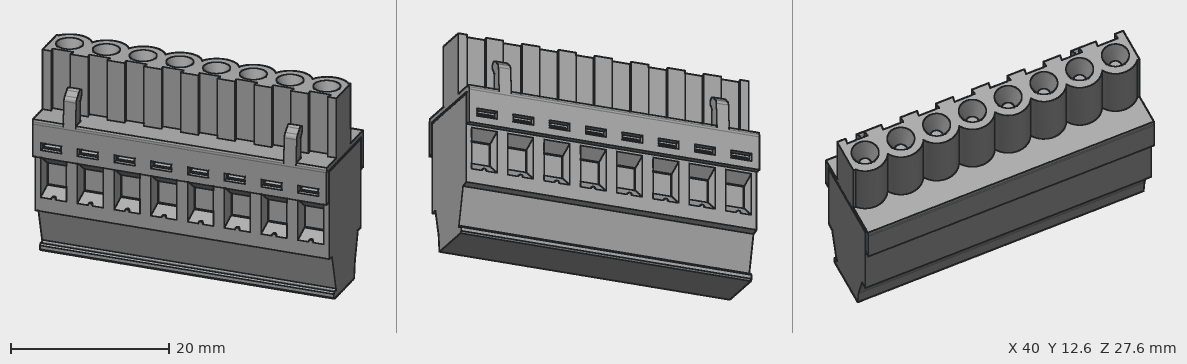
import cadquery as cq
import math


pole_count = 8
pitch = 5.0
length = pole_count * pitch
height = 27.6

plate_width = 12.6
plate_half_width = plate_width / 2
plate_top = 19.3
plate_bottom = 18.6
lean_start = 18.7
plate_chamfer_inset = 0.1
plate_chamfer_drop = 0.3
skirt_bottom = 14.2
skirt_inner = 5.5

body_front = -5.4
body_back = 5.45
end_gap_height = 0.15
end_gap_depth = 0.15

tower_front = -2.9
tower_valley = 1.4
lobe_diameter = 5.7
lobe_center_y = 0.1
ear_width = 0.3
ear_back = 1.9
key_depth = 0.75
key_open_width = 2.6
key_root_width = 2.85

funnel_top_diameter = 3.5
funnel_bottom_diameter = 1.6
funnel_depth = 2.4

window_width = 3.5
window_bottom = 8.25
window_top = 13.9
window_taper_depth = 1.25
window_inner_width = 2.7
window_inner_bottom = 9.5
window_inner_top = 12.6
window_inner_depth = 0.3
window_bead_radius = 0.3

slot_width = 2.8
slot_bottom = 15.25
slot_top = 16.25
wedge_width = 2.25
wedge_front = -5.9
wedge_bottom = 15.35
wedge_front_top = 15.6
wedge_back_top = 15.95

hook_width = 1.7
hook_spacing = (pole_count - 2) * pitch
hook_inner = -4.65
hook_flare = 0.15
hook_neck_z = 22.1
hook_shoulder_y = -6.05
hook_shoulder_z = 22.5
hook_tip_radius = 0.55
hook_tip_z = 23.2

overlap = 0.4

pole_positions = [(i - (pole_count - 1) / 2) * pitch for i in range(pole_count)]


def along_x(profile, width, x_center=0):
    """Extrude a closed Y-Z profile over a width centred on x_center."""
    return profile.extrude(width / 2, both=True).translate((x_center, 0, 0))


def box(x_center, width, y_min, y_max, z_min, z_max):
    return cq.Workplane("XY").box(width, y_max - y_min, z_max - z_min).translate(
        (x_center, (y_min + y_max) / 2, (z_min + z_max) / 2)
    )


def make_body():
    """Lower body: straight walls, tapered foot and a chamfered lip along the front edge."""
    step_z = 6.1
    front_step_y = -4.4
    front_step_edge_z = 6.3
    lip_root_y = -3.1
    lip_root_z = 1.25
    lip_hollow_middle = (-3.0, 1.1)
    lip_hollow_end_y = -3.15
    lip_front = -3.8
    lip_top = 1.0
    lip_chamfer = 0.25
    back_foot_y = 3.15
    back_bend_y = 3.45
    back_bend_z = 2.4
    back_step_y = 4.45
    profile = (
        cq.Workplane("YZ")
        .moveTo(body_front, plate_bottom + overlap)
        .lineTo(body_front, front_step_edge_z)
        .lineTo(front_step_y, step_z)
        .lineTo(lip_root_y, lip_root_z)
        .threePointArc(lip_hollow_middle, (lip_hollow_end_y, lip_top))
        .lineTo(lip_front + lip_chamfer, lip_top)
        .lineTo(lip_front, lip_top - lip_chamfer)
        .lineTo(lip_front, lip_chamfer)
        .lineTo(lip_front + lip_chamfer, 0)
        .lineTo(back_foot_y, 0)
        .lineTo(back_bend_y, back_bend_z)
        .lineTo(back_step_y, step_z)
        .lineTo(body_back, step_z)
        .lineTo(body_back, plate_bottom + overlap)
        .close()
    )
    return along_x(profile, length)


def make_plate():
    """Top plate with leaning, chamfered long edges and a skirt hanging along each long side."""
    chamfer_bottom = plate_top - plate_chamfer_drop
    lean_slope = (plate_half_width + hook_shoulder_y) / (hook_shoulder_z - lean_start)
    lean_y = plate_half_width - lean_slope * (chamfer_bottom - lean_start)
    chamfer_y = plate_half_width - plate_chamfer_inset
    plate = along_x(
        cq.Workplane("YZ").polyline(
            [
                (-plate_half_width, plate_bottom),
                (-plate_half_width, lean_start),
                (-lean_y, chamfer_bottom),
                (-chamfer_y, plate_top),
                (chamfer_y, plate_top),
                (lean_y, chamfer_bottom),
                (plate_half_width, lean_start),
                (plate_half_width, plate_bottom),
            ]
        ).close(),
        length,
    )
    front_skirt = box(0, length, -plate_half_width, -skirt_inner, skirt_bottom, lean_start)
    back_skirt = box(0, length, skirt_inner, plate_half_width, skirt_bottom, lean_start)
    return plate.union(front_skirt).union(back_skirt)


def make_tower():
    """Row of sockets: straight front with undercut key slots, one round lobe per pole behind."""
    base = plate_top - overlap
    tower = box(0, length, tower_front, tower_valley, base, height)
    lobe_limits = box(0, length, 0, plate_half_width, base, height)
    for x in pole_positions:
        lobe = (
            cq.Workplane("XY", origin=(x, lobe_center_y, base))
            .circle(lobe_diameter / 2)
            .extrude(height - base)
        )
        tower = tower.union(lobe.intersect(lobe_limits))
    for side in (-1, 1):
        ear_x = side * (length - ear_width) / 2
        tower = tower.union(box(ear_x, ear_width, 0, ear_back, base, height))
    for x in pole_positions:
        tower = tower.cut(make_key_slot(x))
    return tower


def make_key_slot(x):
    root_y = tower_front + key_depth
    return (
        cq.Workplane("XY", origin=(x, 0, plate_top))
        .polyline(
            [
                (-key_open_width / 2, tower_front),
                (-key_root_width / 2, root_y),
                (key_root_width / 2, root_y),
                (key_open_width / 2, tower_front),
            ]
        )
        .close()
        .extrude(height - plate_top)
    )


def make_funnel(x):
    return (
        cq.Workplane("XY", origin=(x, lobe_center_y, height))
        .circle(funnel_top_diameter / 2)
        .workplane(offset=-funnel_depth)
        .circle(funnel_bottom_diameter / 2)
        .loft()
    )


def make_window(x):
    """Tapered wire entry ending in a short straight pocket, with a bead on the front of its floor."""
    center_z = (window_bottom + window_top) / 2
    inner_center_z = (window_inner_bottom + window_inner_top) / 2
    inner_height = window_inner_top - window_inner_bottom
    taper_end = body_front + window_taper_depth
    taper = (
        cq.Workplane("XZ", origin=(x, body_front, center_z))
        .rect(window_width, window_top - window_bottom)
        .workplane(offset=-window_taper_depth)
        .center(0, inner_center_z - center_z)
        .rect(window_inner_width, inner_height)
        .loft()
    )
    pocket = box(
        x,
        window_inner_width,
        taper_end,
        taper_end + window_inner_depth,
        window_inner_bottom,
        window_inner_top,
    )
    bead = (
        cq.Workplane("XZ", origin=(x, body_front, window_bottom))
        .circle(window_bead_radius)
        .extrude(-window_taper_depth)
    )
    return taper.union(pocket).cut(bead)


def make_slot(x):
    return box(x, slot_width, -plate_half_width, body_front, slot_bottom, slot_top)


def make_wedge(x):
    profile = (
        cq.Workplane("YZ")
        .polyline(
            [
                (body_front + overlap, wedge_bottom),
                (wedge_front, wedge_bottom),
                (wedge_front, wedge_front_top),
                (body_front, wedge_back_top),
                (body_front + overlap, wedge_back_top),
            ]
        )
        .close()
    )
    return along_x(profile, wedge_width, x)


def make_hook(x):
    """Latch hook with a leaning outer face and a round tip that reaches over toward the tower."""
    tip_start_angle = -35
    tip_end_angle = 135
    shoulder_start = (-5.7, 23.1)
    shoulder_middle = (-5.9, 22.85)

    def tip_point(angle):
        return (
            hook_inner + hook_tip_radius * math.cos(math.radians(angle)),
            hook_tip_z + hook_tip_radius * math.sin(math.radians(angle)),
        )

    profile = (
        cq.Workplane("YZ")
        .moveTo(hook_inner + hook_flare, lean_start)
        .lineTo(hook_inner + hook_flare, plate_top)
        .lineTo(hook_inner, plate_top + hook_flare)
        .lineTo(hook_inner, hook_neck_z)
        .lineTo(*tip_point(tip_start_angle))
        .threePointArc(tip_point((tip_start_angle + tip_end_angle) / 2), tip_point(tip_end_angle))
        .lineTo(*shoulder_start)
        .threePointArc(shoulder_middle, (hook_shoulder_y, hook_shoulder_z))
        .lineTo(-plate_half_width, lean_start)
        .close()
    )
    return along_x(profile, hook_width, x)


def make_end_gap(side):
    """Shallow groove across one end, parting the body from the plate."""
    x_center = side * (length - end_gap_depth) / 2
    return box(
        x_center,
        end_gap_depth,
        -skirt_inner,
        skirt_inner,
        plate_bottom - end_gap_height,
        plate_bottom,
    )


result = make_body().union(make_plate()).union(make_tower())
for pole_x in pole_positions:
    result = result.cut(make_funnel(pole_x))
    result = result.cut(make_window(pole_x))
    result = result.cut(make_slot(pole_x))
    result = result.union(make_wedge(pole_x))
for side in (-1, 1):
    result = result.union(make_hook(side * hook_spacing / 2))
    result = result.cut(make_end_gap(side))